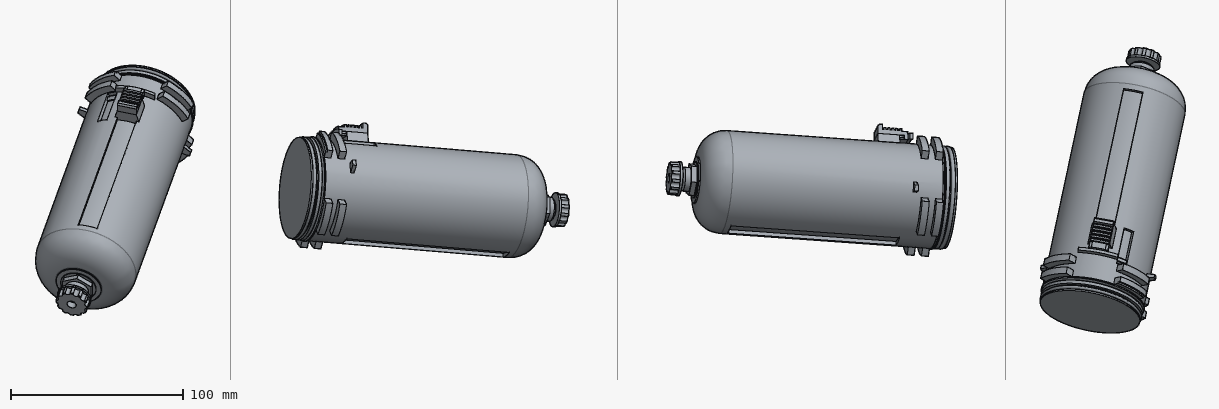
import cadquery as cq
import math


total_length = 165.0
margin = 1.6
shell_radius = 30.0
recess_floor_radius = 55.6 / 2

rim_radius = 29.5
bead_start = 1.2
bead_end = 3.5
bead_root_radius = 29.0
seal_groove_radius = 28.0
seal_groove_end = 4.5
land_end = 6.6
flange_cone_start = 7.0
flange_cone_end = 7.8
flange_radius = 30.5
rim_end = 8.5
dome_start = 132.8
dome_radius = 16.0
dome_end = dome_start + dome_radius

lug_outer_radius = 34.8
lug_width = 21.5
lug_thickness = 4.1
lug_depths = (rim_end, 17.0)
top_angle = 90
lug_angles = (45, 135, 225, 315)
index_lug_angle = 135
index_step_radius = 33.5
index_step_length = 1.0

pin_start = 24.0
pin_thickness = 2.1
pin_outline = [(-27.2, 9.2), (-35.0, 11.0), (-35.0, 8.1), (-34.2, 7.5), (-29.2, 3.3), (-27.2, 3.3)]

window_width = 11.4
window_start = 29.7
window_end = 129.4

slot_start = 22.0
slot_end = 44.4
slot_wall_x = -11.4
slot_wall_angle = 124.8
slot_sweep = 20
stop_start = 24.0
stop_end = 26.4
stop_high_radius = 29.2
stop_low_radius = 28.5

boss_start = window_start
boss_end = 42.5
boss_top_width = window_width
boss_base_width = 14.7
boss_base_height = 28.7
boss_top = 35.0

latch_width = boss_top_width
latch_start = 24.8
latch_end = boss_end
plate_bottom = boss_top
plate_top_radius = 38.3
pad_width = 8.2
pad_length = 3.5
pad_height = 0.41
bar_start = 23.0
bar_width = 23.5
bar_inner_radius = 32.7
bar_outer_radius = 36.1
stem_bottom = 32.5
stem_end = boss_start
stem_notch_start = 26.9
stem_notch_depth = 1.0
stem_lip_depth = 0.5
stem_lip_top = 33.7
rib_count = 5
rib_start = 28.4
rib_pitch = 2.3
rib_thickness = 1.24
rib_top_radius = 39.5
thumb_rest_start = 39.8
thumb_rest_top = 41.0
thumb_rest_chamfer = 1.0

washer_diameter = 27.0
washer_end = 149.7
seat_diameter = 21.3
seat_end = 150.2
hex_sides = 6
hex_across_flats = 17.2
hex_end = 153.1
collar_diameter = 14.0
collar_end = 157.5
collar_chamfer = 1.2
neck_diameter = 8.0
knob_start = 158.5
knob_flange_diameter = 20.0
knob_flange_end = 159.9
knob_diameter = 19.1
knob_chamfer = 0.5
flute_count = 12
flute_radius = 1.6
flute_circle_radius = 9.9
drain_hole_diameter = 5.5
drain_hole_depth = 4.1
drain_bore_diameter = 4.0
drain_bore_depth = 7.5


def cylinder(radius, start, end):
    """Cylinder on the part axis between two depths."""
    return cq.Workplane("XZ", origin=(0, -start, 0)).circle(radius).extrude(end - start)


def tube(inner_radius, outer_radius, start, end):
    """Ring on the part axis between two depths."""
    plane = cq.Workplane("XZ", origin=(0, -start, 0))
    return plane.circle(outer_radius).circle(inner_radius).extrude(end - start)


def block(width, start, end, bottom, top):
    """Box centred on X = 0, between two depths and two heights."""
    middle = (0, -(start + end) / 2, (bottom + top) / 2)
    return cq.Workplane("XY", origin=middle).box(width, end - start, top - bottom)


def at_angle(shape, angle):
    """Turn a shape about the part axis, from +X towards +Z."""
    return shape.rotate((0, 0, 0), (0, 1, 0), -angle)


def revolved(points, angle=360):
    """Revolve a closed outline of (radius, depth) points about the part axis."""
    outline = [(radius, -depth) for radius, depth in points]
    return cq.Workplane("XY").polyline(outline).close().revolve(angle, (0, 0, 0), (0, 1, 0))



def rim():
    """Grooved rim at the open end, with a rounded bead."""
    outline = (
        cq.Workplane("XY")
        .lineTo(rim_radius, 0)
        .lineTo(rim_radius, -bead_start)
        .lineTo(bead_root_radius, -bead_start)
        .threePointArc((shell_radius, -(bead_start + bead_end) / 2), (bead_root_radius, -bead_end))
        .lineTo(seal_groove_radius, -bead_end)
        .lineTo(seal_groove_radius, -seal_groove_end)
        .lineTo(shell_radius, -seal_groove_end)
        .lineTo(shell_radius, -land_end)
        .lineTo(bead_root_radius, -land_end)
        .lineTo(bead_root_radius, -flange_cone_start)
        .lineTo(flange_radius, -flange_cone_end)
        .lineTo(flange_radius, -rim_end)
        .lineTo(0, -rim_end)
        .close()
    )
    return outline.revolve(360, (0, 0, 0), (0, 1, 0))


def shell():
    """Barrel with its rounded bottom end."""
    barrel = cylinder(shell_radius, rim_end, dome_end)
    return barrel.faces("<Y").edges().fillet(dome_radius)


def lug(start, angle):
    """Parallel-sided block standing out from the barrel."""
    end = start + lug_thickness
    bar = block(lug_width, start, end, recess_floor_radius - margin, lug_outer_radius)
    ring = tube(shell_radius - margin, lug_outer_radius, start, end)
    return at_angle(bar.intersect(ring), angle - top_angle)


def index_step():
    """Material taken off the front edge of the index lug."""
    end = rim_end + index_step_length
    bar = block(lug_width + margin, rim_end, end, shell_radius, lug_outer_radius + margin)
    ring = tube(index_step_radius, lug_outer_radius + margin, rim_end, end)
    return at_angle(bar.intersect(ring), index_lug_angle - top_angle)


def stop_pin():
    """Tapered pin on the -X side, ending at the lug radius."""
    plane = cq.Workplane("XZ", origin=(0, -pin_start, 0))
    pin = plane.polyline(pin_outline).close().extrude(pin_thickness)
    return pin.intersect(cylinder(lug_outer_radius, pin_start, pin_start + pin_thickness))


def window():
    """Long recess along the top of the barrel."""
    opening = block(window_width, window_start, window_end, 0, shell_radius + margin)
    return opening.cut(cylinder(recess_floor_radius, window_start, window_end))


def slot_sector(points):
    """Sector with one radial wall, cut short by an upright wall."""
    sector = at_angle(revolved(points, slot_sweep), slot_wall_angle)
    beyond_wall = block(shell_radius, slot_start, slot_end, 0, 2 * shell_radius)
    return sector.cut(beyond_wall.translate((slot_wall_x + shell_radius / 2, 0, 0)))


def side_slot():
    """Short recess beside the latch."""
    outer = shell_radius + margin
    return slot_sector([
        (recess_floor_radius, slot_start), (outer, slot_start),
        (outer, slot_end), (recess_floor_radius, slot_end),
    ])


def slot_stop():
    """Ramped stop on the floor of the side slot."""
    root = recess_floor_radius - margin
    return slot_sector([
        (root, stop_start), (stop_high_radius, stop_start),
        (stop_low_radius, stop_end), (root, stop_end),
    ])


def latch_boss():
    """Flared boss on top of the barrel that also fills the front of the upper window."""
    half_top = boss_top_width / 2
    half_base = boss_base_width / 2
    root = recess_floor_radius - margin
    outline = [
        (-half_top, boss_top), (half_top, boss_top),
        (half_base, boss_base_height), (half_top, boss_base_height),
        (half_top, root), (-half_top, root),
        (-half_top, boss_base_height), (-half_base, boss_base_height),
    ]
    plane = cq.Workplane("XZ", origin=(0, -boss_start, 0))
    return plane.polyline(outline).close().extrude(boss_end - boss_start)


def make_housing():
    body = rim().union(shell())
    for start in lug_depths:
        for angle in lug_angles:
            body = body.union(lug(start, angle))
    body = body.cut(index_step())
    for turn in (0, 180):
        body = body.union(at_angle(stop_pin(), turn))
        body = body.cut(at_angle(window(), turn))
    body = body.union(latch_boss())
    return body.cut(side_slot()).union(slot_stop())



def latch_plate():
    """Plate with a crowned top and a slightly raised pad at its front."""
    plate = block(latch_width, latch_start, latch_end, plate_bottom, plate_top_radius)
    plate = plate.intersect(cylinder(plate_top_radius, latch_start, latch_end))
    pad_end = latch_start + pad_length
    front_top = block(latch_width, latch_start, pad_end, plate_bottom, plate_top_radius + margin)
    lowered = front_top.cut(cylinder(plate_top_radius - pad_height, latch_start, pad_end))
    pad = block(pad_width, latch_start, pad_end, plate_bottom, plate_top_radius + margin)
    return plate.cut(lowered.cut(pad))


def latch_ribs():
    """Crowned grip ribs across the plate."""
    ribs = []
    for index in range(rib_count):
        start = rib_start + index * rib_pitch
        end = start + rib_thickness
        rib = block(latch_width, start, end, plate_bottom, rib_top_radius)
        ribs.append(rib.intersect(cylinder(rib_top_radius, start, end)))
    return ribs


def thumb_rest():
    """Raised wall at the back of the grip."""
    rest = block(latch_width, thumb_rest_start, latch_end, plate_bottom, thumb_rest_top)
    return rest.faces("<Y").edges(">Z").chamfer(thumb_rest_chamfer)


def latch_bar():
    """Curved cross bar at the front."""
    ring = tube(bar_inner_radius, bar_outer_radius, bar_start, latch_start)
    return ring.intersect(block(bar_width, bar_start, latch_start, 0, bar_outer_radius))


def latch_stem():
    """Block under the front of the plate, stepped narrower at its back."""
    front = block(latch_width, latch_start, stem_notch_start, stem_bottom, plate_bottom)
    web_width = latch_width - 2 * stem_notch_depth
    lip_width = latch_width - 2 * stem_lip_depth
    web = block(web_width, stem_notch_start, stem_end, stem_bottom, plate_bottom)
    lip = block(lip_width, stem_notch_start, stem_end, stem_bottom, stem_lip_top)
    return front.union(web).union(lip)


def make_latch():
    body = latch_plate().union(thumb_rest())
    for rib in latch_ribs():
        body = body.union(rib)
    return body.union(latch_bar()).union(latch_stem())



def hexagon():
    """Hexagon with two corners pointing up and down."""
    half_side_angle = 180 / hex_sides
    across_corners = hex_across_flats / math.cos(math.radians(half_side_angle))
    plane = cq.Workplane("XZ", origin=(0, -seat_end, 0))
    prism = plane.polygon(hex_sides, across_corners).extrude(hex_end - seat_end)
    return at_angle(prism, half_side_angle)


def fluted_knob():
    """Knob with a plain flange and flutes round its grip."""
    grip = cylinder(knob_diameter / 2, knob_flange_end, total_length)
    grip = grip.faces("<Y").edges().chamfer(knob_chamfer)
    plane = cq.Workplane("XZ", origin=(0, -knob_flange_end, 0))
    flutes = plane.polarArray(flute_circle_radius, 180 / flute_count, 360, flute_count).circle(flute_radius)
    grip = grip.cut(flutes.extrude(total_length - knob_flange_end))
    return cylinder(knob_flange_diameter / 2, knob_start, knob_flange_end).union(grip)


def make_drain_cock():
    body = cylinder(washer_diameter / 2, dome_end, washer_end)
    body = body.union(cylinder(seat_diameter / 2, washer_end, seat_end))
    body = body.union(hexagon())
    collar = cylinder(collar_diameter / 2, hex_end, collar_end)
    body = body.union(collar.faces("<Y").edges().chamfer(collar_chamfer))
    body = body.union(cylinder(neck_diameter / 2, collar_end, knob_start))
    body = body.union(fluted_knob())
    body = body.cut(cylinder(drain_hole_diameter / 2, total_length - drain_hole_depth, total_length))
    return body.cut(cylinder(drain_bore_diameter / 2, total_length - drain_bore_depth, total_length))


housing = make_housing()
latch = make_latch()
drain_cock = make_drain_cock()

result = cq.Compound.makeCompound([housing.val(), latch.val(), drain_cock.val()])